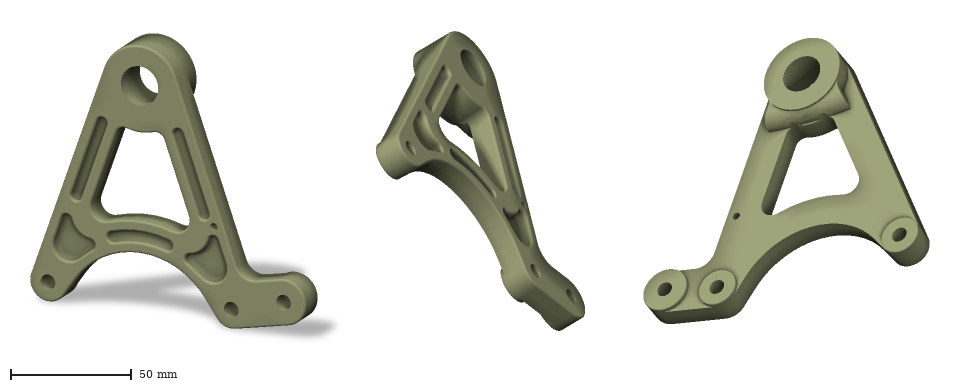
import cadquery as cq
import math


plate_thickness = 10.0
front_edge_radius = 1.0
foot_spacing = 84.1
foot_radius = 8.5
pivot_height = 91.3
pivot_radius = 17.5
arm_reach = 24.1
arm_rise = 6.5
arm_radius = 10.0
arm_root_fillet = 8.0
arch_drop = 17.6
arch_radius = 36.1
strut_width = 14.5
arch_width = 14.0

pivot_bore = 17.1
foot_bore = 6.7
pin_bore = 3.3
pin_center = (34.1, 34.8)

pivot_boss_height = 8.0
foot_boss_height = 2.0
foot_boss_edge_radius = 0.5
gusset_height = 6.8
gusset_inset = 6.0
gusset_corner_drop = 18.7
gusset_bow = 1.0
gusset_edge_radius = 6.0
gusset_root_fillet = 5.0

window_top_radius = 20.4
window_top_fillet = 3.9
window_bottom_fillet = 6.0

recess_depth = 4.0
recess_floor_fillet = 2.0
recess_half_width = 2.4
strut_groove_low_z = 39.5
strut_groove_high_z = 72.7
arch_groove_half_angle = math.radians(17)
pocket_heel = (-32.9, 17.1)
pocket_heel_radius = 6.8
pocket_upper_tip = (-33.7, 28.4)
pocket_inner_tip = (-23.0, 19.0)
pocket_throat_radius = 10.0

left_foot = (-foot_spacing / 2, 0)
right_foot = (foot_spacing / 2, 0)
pivot = (0, pivot_height)
pivot_top = (0, pivot_height + pivot_radius)
arm_end = (right_foot[0] + arm_reach, arm_rise)
arch_center = (0, -arch_drop)
arch_top = (0, arch_radius - arch_drop)
window_bottom_radius = arch_radius + arch_width
arch_groove_radius = arch_radius + arch_width / 2


def polar(center, radius, angle):
    return (center[0] + radius * math.cos(angle), center[1] + radius * math.sin(angle))


def mirrored(point):
    return (-point[0], point[1])


def direction(start, end):
    return math.atan2(end[1] - start[1], end[0] - start[0])


def tangent(center_a, radius_a, center_b, radius_b):
    """Touch points of the line from circle a to circle b that leaves them on its right.

    A negative radius puts that circle on the left of the line.
    """
    spacing = math.dist(center_a, center_b)
    normal = direction(center_a, center_b) + math.acos((radius_a - radius_b) / spacing)
    return polar(center_a, radius_a, normal), polar(center_b, radius_b, normal)


def crossing(point_a, angle_a, point_b, angle_b):
    """Point where two lines, each given by a point and an angle, meet."""
    dx = point_b[0] - point_a[0]
    dz = point_b[1] - point_a[1]
    travel = (dx * math.sin(angle_b) - dz * math.cos(angle_b)) / math.sin(angle_b - angle_a)
    return polar(point_a, travel, angle_a)


def circle_meeting(center_a, radius_a, center_b, radius_b):
    """Crossing of two circles that lies to the left of the line from a to b."""
    spacing = math.dist(center_a, center_b)
    cosine = (radius_a**2 + spacing**2 - radius_b**2) / (2 * radius_a * spacing)
    return polar(center_a, radius_a, direction(center_a, center_b) + math.acos(cosine))


def line_circle(point, angle, center, radius):
    """First and last crossing with a circle of the line through a point, going along the angle."""
    dx = point[0] - center[0]
    dz = point[1] - center[1]
    along = dx * math.cos(angle) + dz * math.sin(angle)
    across = dx * math.sin(angle) - dz * math.cos(angle)
    half_chord = math.sqrt(radius**2 - across**2)
    return polar(point, -along - half_chord, angle), polar(point, -along + half_chord, angle)


side_low, side_high = tangent(left_foot, foot_radius, pivot, pivot_radius)
side_angle = direction(side_low, side_high)


def left_side_point(inset, z):
    """Point at height z on the line parallel to the left side and inset from it."""
    start = polar(side_low, inset, side_angle - math.pi / 2)
    return crossing(start, side_angle, (0, z), 0)


def on_front(y=0):
    return cq.Workplane("XZ", origin=(0, y, 0))


def to_rear(profile, depth):
    """Extrude a profile toward +Y."""
    return profile.extrude(-depth)


def disc(center, radius, y, depth):
    return to_rear(on_front(y).center(*center).circle(radius), depth)


def near(point, y):
    return cq.selectors.NearestToPointSelector((point[0], y, point[1]))


def make_plate():
    arm_low, foot_low = tangent(arm_end, arm_radius, right_foot, foot_radius)
    arm_angle = direction(foot_low, arm_low)
    arm_top = polar(arm_end, arm_radius, arm_angle + math.pi / 2)
    arm_root = crossing(mirrored(side_low), math.pi - side_angle, arm_top, arm_angle)
    leg_low, leg_high = tangent(left_foot, -foot_radius, arch_center, arch_radius)
    profile = (
        on_front()
        .moveTo(*side_low)
        .lineTo(*side_high)
        .threePointArc(pivot_top, mirrored(side_high))
        .lineTo(*arm_root)
        .lineTo(*arm_top)
        .threePointArc(polar(arm_end, arm_radius, 0), arm_low)
        .lineTo(*foot_low)
        .threePointArc(polar(right_foot, foot_radius, -2 * math.pi / 3), mirrored(leg_low))
        .lineTo(*mirrored(leg_high))
        .threePointArc(arch_top, leg_high)
        .lineTo(*leg_low)
        .threePointArc(polar(left_foot, foot_radius, -2 * math.pi / 3), side_low)
        .close()
    )
    plate = to_rear(profile, plate_thickness)
    return plate.edges(near(arm_root, plate_thickness / 2)).fillet(arm_root_fillet)


def make_window(depth):
    """Opening between the struts: parallel to the sides, concentric with pivot and arch."""
    inner_low = left_side_point(strut_width, 0)
    top_corner, _ = line_circle(inner_low, side_angle, pivot, window_top_radius)
    _, bottom_corner = line_circle(inner_low, side_angle, arch_center, window_bottom_radius)
    profile = (
        on_front()
        .moveTo(*bottom_corner)
        .lineTo(*top_corner)
        .threePointArc(polar(pivot, window_top_radius, -math.pi / 2), mirrored(top_corner))
        .lineTo(*mirrored(bottom_corner))
        .threePointArc(polar(arch_center, window_bottom_radius, math.pi / 2), bottom_corner)
        .close()
    )
    window = to_rear(profile, depth)
    window = window.edges("|Y and >Z").fillet(window_top_fillet)
    return window.edges("|Y and <Z").fillet(window_bottom_fillet)


def recess(profile):
    """Blind cutter from the front face with a rounded floor."""
    return to_rear(profile, recess_depth).faces(">Y").edges().fillet(recess_floor_fillet)


def make_strut_groove():
    low = left_side_point(strut_width / 2, strut_groove_low_z)
    high = left_side_point(strut_width / 2, strut_groove_high_z)
    low_wall, high_wall = tangent(low, recess_half_width, high, recess_half_width)
    high_return, low_return = tangent(high, recess_half_width, low, recess_half_width)
    return recess(
        on_front()
        .moveTo(*low_wall)
        .lineTo(*high_wall)
        .threePointArc(polar(high, recess_half_width, side_angle), high_return)
        .lineTo(*low_return)
        .threePointArc(polar(low, recess_half_width, side_angle + math.pi), low_wall)
        .close()
    )


def make_arch_groove():
    outer_radius = arch_groove_radius + recess_half_width
    inner_radius = arch_groove_radius - recess_half_width
    upright = math.pi / 2
    end_angle = upright + arch_groove_half_angle
    end = polar(arch_center, arch_groove_radius, end_angle)
    end_tip = polar(end, recess_half_width, end_angle + upright)
    outer_end = polar(arch_center, outer_radius, end_angle)
    inner_end = polar(arch_center, inner_radius, end_angle)
    return recess(
        on_front()
        .moveTo(*outer_end)
        .threePointArc(polar(arch_center, outer_radius, upright), mirrored(outer_end))
        .threePointArc(mirrored(end_tip), mirrored(inner_end))
        .threePointArc(polar(arch_center, inner_radius, upright), inner_end)
        .threePointArc(end_tip, outer_end)
        .close()
    )


def make_pocket():
    """Kidney-shaped pocket: a wide heel, two tips and a concave throat between the tips."""
    throat_reach = pocket_throat_radius + recess_half_width
    throat = circle_meeting(pocket_upper_tip, throat_reach, pocket_inner_tip, throat_reach)
    heel_left, upper_left = tangent(
        pocket_heel, pocket_heel_radius, pocket_upper_tip, recess_half_width
    )
    inner_low, heel_low = tangent(
        pocket_inner_tip, recess_half_width, pocket_heel, pocket_heel_radius
    )
    upper_angle = direction(throat, pocket_upper_tip)
    inner_angle = direction(throat, pocket_inner_tip)
    throat_angle = direction(throat, pocket_heel)
    tips_angle = direction(pocket_heel, throat)
    return recess(
        on_front()
        .moveTo(*heel_left)
        .lineTo(*upper_left)
        .threePointArc(
            polar(pocket_upper_tip, recess_half_width, math.pi / 2),
            polar(throat, pocket_throat_radius, upper_angle),
        )
        .threePointArc(
            polar(throat, pocket_throat_radius, throat_angle),
            polar(throat, pocket_throat_radius, inner_angle),
        )
        .threePointArc(polar(pocket_inner_tip, recess_half_width, 0), inner_low)
        .lineTo(*heel_low)
        .threePointArc(polar(pocket_heel, pocket_heel_radius, tips_angle + math.pi), heel_left)
        .close()
    )


def make_pivot_boss():
    """Round boss behind the pivot with a lower gusset that runs down to the window."""
    corner = left_side_point(gusset_inset, pivot_height - gusset_corner_drop)
    shoulder = left_side_point(gusset_inset, pivot_height)
    profile = (
        on_front(plate_thickness)
        .moveTo(*corner)
        .lineTo(*shoulder)
        .lineTo(*mirrored(shoulder))
        .lineTo(*mirrored(corner))
        .threePointArc((0, corner[1] - gusset_bow), corner)
        .close()
    )
    root_low, _ = line_circle(corner, side_angle, pivot, pivot_radius)
    circle = (
        on_front(plate_thickness)
        .moveTo(*side_high)
        .threePointArc(pivot_top, mirrored(side_high))
        .threePointArc(polar(pivot, pivot_radius, -math.pi / 2), side_high)
        .close()
    )
    boss = to_rear(circle, pivot_boss_height)
    boss = boss.union(to_rear(profile, gusset_height))
    root_y = plate_thickness + gusset_height / 2
    for root in (root_low, mirrored(root_low)):
        boss = boss.edges(near(root, root_y)).fillet(gusset_root_fillet)
    bottom_edge = near((0, corner[1] - gusset_bow), plate_thickness + gusset_height)
    return boss.edges(bottom_edge).fillet(gusset_edge_radius)


def make_foot_boss(center, radius):
    boss = disc(center, radius, plate_thickness, foot_boss_height)
    return boss.faces(">Y").edges().fillet(foot_boss_edge_radius)


total_depth = plate_thickness + pivot_boss_height
window = make_window(total_depth)

body = make_plate().cut(window).cut(make_arch_groove())
for cutter in (make_strut_groove(), make_pocket()):
    body = body.cut(cutter).cut(cutter.mirror("YZ"))
body = body.faces("<Y").edges().fillet(front_edge_radius)

body = body.union(make_pivot_boss().cut(window))
for center, radius in ((left_foot, foot_radius), (right_foot, foot_radius), (arm_end, arm_radius)):
    body = body.union(make_foot_boss(center, radius))

holes = [(pivot, pivot_bore), (pin_center, pin_bore)]
holes += [(center, foot_bore) for center in (left_foot, right_foot, arm_end)]
for center, diameter in holes:
    body = body.cut(disc(center, diameter / 2, 0, total_depth))

result = body